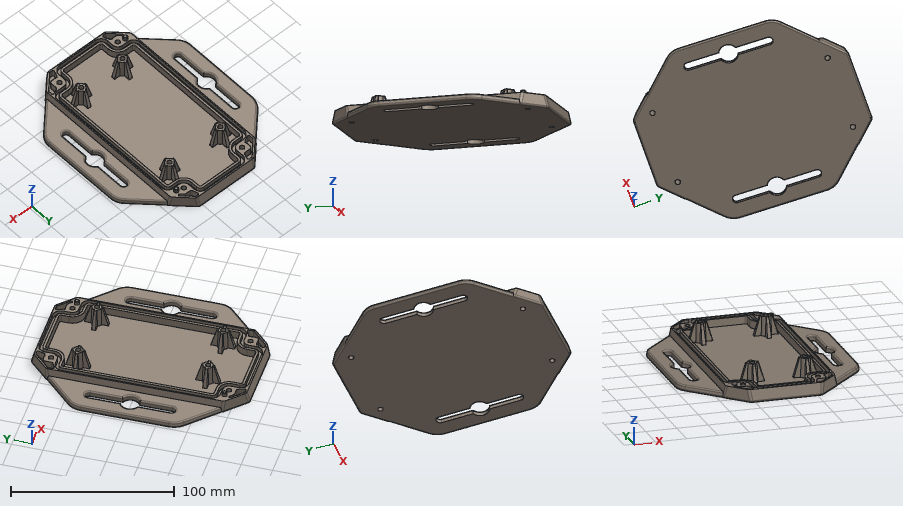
import cadquery as cq
import math

LENGTH_Y = 138.7
WIDTH_X = 117.3
TOTAL_HEIGHT = 15.5

FLOOR_Z = 3.0
FLANGE_Z = 3.6
BODY_Z = 8.0

WALL_DRAFT = 15.0
MOULD_DRAFT = 2.5
EDGE_RADIUS = 1.0
WALL_SLOPE = math.tan(math.radians(WALL_DRAFT))
MOULD_SLOPE = math.tan(math.radians(MOULD_DRAFT))

ROUNDING_LOSS = EDGE_RADIUS * (1 / math.tan(math.radians(45 - WALL_DRAFT / 2)) - 1)

BASE_HALF_Y = LENGTH_Y / 2 + ROUNDING_LOSS
FLANGE_HALF_X = WIDTH_X / 2 + ROUNDING_LOSS
BODY_BASE_CORNER_SUM = 92.4
FLANGE_CORNER_SUM = 92.2
BODY_TOP_CORNER_SUM = 91.3
FLANGE_END_SETBACK = 4.2
FLANGE_HALF_Y = BASE_HALF_Y - FLANGE_END_SETBACK
BODY_TOP_HALF_X = 34.8
BODY_TOP_HALF_Y = BASE_HALF_Y - BODY_Z * WALL_SLOPE
BODY_BASE_HALF_X = BODY_TOP_HALF_X + BODY_Z * WALL_SLOPE
BODY_CORNER_RADIUS = 2.8
FLANGE_CORNER_RADIUS = 13.0

SCREW_X = 24.0
SCREW_Y = 56.5
SCREW_DIAMETER = 3.2
GROOVE_HALF_X = 34.0
GROOVE_HALF_Y = 66.4
GROOVE_CORNER_RADIUS = 5.3
GROOVE_BEND_RADIUS = 4.0
GROOVE_WIDTH = 2.4
GROOVE_DEPTH = 3.0
RIM_WIDTH = 1.7

SLOT_X = 46.0
SLOT_WIDTH = 5.0
SLOT_END_Y = 26.1
KEYHOLE_DIAMETER = 11.9

POST_CENTRES = [(-21.0, 40.1), (21.0, 40.1), (21.0, -40.1), (-13.0, -40.1)]
POST_TOP_DIAMETER = 6.1
POST_HOLE_DIAMETER = 3.2
POST_HOLE_DEPTH = 10.0
RIB_BASE_WIDTH = 2.6
RIB_BASE_REACH = 7.6
RIB_TOP_REACH = 3.9
POST_HEIGHT = TOTAL_HEIGHT - FLOOR_Z

PIN_X = 29.0
PIN_Y = 55.0
PIN_DIAMETER = 3.2
PIN_HEIGHT = 2.5
PIN_CHAMFER = 0.5

POCKET_SIDE_X = 33.5
POCKET_END_Y = 66.3
POCKET_CORNER_SUM = 89.5
POCKET_LOW_Y = 52.1
POCKET_TIP_X = 30.6
TIGHT_RADIUS = 0.5
SOFT_RADIUS = 1.0
PAD_CORNER_RADIUS = 1.7
SCREW_PAD = 4.3
PAD_X = SCREW_X + SCREW_PAD
PAD_Y = SCREW_Y + SCREW_PAD
POCKET_NEAR_END = [
    (21.9, PAD_Y, SOFT_RADIUS),
    (19.8, POCKET_END_Y, SOFT_RADIUS),
    (POCKET_CORNER_SUM - POCKET_END_Y, POCKET_END_Y, TIGHT_RADIUS),
]
PLAIN_POCKET = POCKET_NEAR_END + [
    (POCKET_SIDE_X, POCKET_CORNER_SUM - POCKET_SIDE_X, TIGHT_RADIUS),
    (POCKET_SIDE_X, POCKET_LOW_Y, TIGHT_RADIUS),
    (32.3, POCKET_LOW_Y, TIGHT_RADIUS),
    (PAD_X, 54.2, SOFT_RADIUS),
    (PAD_X, PAD_Y, PAD_CORNER_RADIUS),
]
PIN_POCKET = POCKET_NEAR_END + [
    (POCKET_TIP_X, POCKET_CORNER_SUM - POCKET_TIP_X, TIGHT_RADIUS),
    (29.5, 58.0, TIGHT_RADIUS),
    (26.8, PAD_Y, TIGHT_RADIUS),
]


def rounded_outline(corners, z=0.0):
    """Closed outline through (x, y, radius) corners, each rounded by a tangent arc."""
    segments = []
    for i, (x, y, radius) in enumerate(corners):
        corner = cq.Vector(x, y)
        to_previous = (cq.Vector(*corners[i - 1][:2]) - corner).normalized()
        to_next = (cq.Vector(*corners[(i + 1) % len(corners)][:2]) - corner).normalized()
        half_angle = to_previous.getAngle(to_next) / 2
        setback = radius / math.tan(half_angle)
        bisector = (to_previous + to_next).normalized()
        middle = corner + bisector * (radius / math.sin(half_angle) - radius)
        segments.append((corner + to_previous * setback, middle, corner + to_next * setback))
    outline = cq.Workplane("XY").workplane(offset=z).moveTo(*segments[-1][2].toTuple()[:2])
    for start, middle, end in segments:
        outline = outline.lineTo(*start.toTuple()[:2])
        outline = outline.threePointArc(middle.toTuple()[:2], end.toTuple()[:2])
    return outline.close()


def all_quadrants(corners):
    """Repeat a first-quadrant run of corners, listed anticlockwise, in all four quadrants."""
    first = list(corners)
    second = [(-x, y, r) for x, y, r in reversed(first)]
    third = [(-x, -y, r) for x, y, r in first]
    fourth = [(x, -y, r) for x, y, r in reversed(first)]
    return first + second + third + fourth


def octagon(half_x, half_y, corner_sum, side_radius, end_radius, z=0.0):
    quarter = [
        (half_x, corner_sum - half_x, side_radius),
        (corner_sum - half_y, half_y, end_radius),
    ]
    return rounded_outline(all_quadrants(quarter), z)


def seal_outline(inset, z):
    """Line parallel to the outer groove wall, moved inwards by inset."""
    corner_radius = GROOVE_CORNER_RADIUS - inset
    bend_radius = GROOVE_BEND_RADIUS + inset
    half_x = GROOVE_HALF_X - inset
    half_y = GROOVE_HALF_Y - inset
    bend_x = SCREW_X - bend_radius
    bend_y = SCREW_Y - bend_radius
    quarter = [
        (half_x, bend_y, corner_radius),
        (bend_x, bend_y, bend_radius),
        (bend_x, half_y, corner_radius),
    ]
    return rounded_outline(all_quadrants(quarter), z)


def make_body():
    radii = (BODY_CORNER_RADIUS, BODY_CORNER_RADIUS)
    base = octagon(BODY_BASE_HALF_X, BASE_HALF_Y, BODY_BASE_CORNER_SUM, *radii)
    top = octagon(BODY_TOP_HALF_X, BODY_TOP_HALF_Y, BODY_TOP_CORNER_SUM, *radii, z=BODY_Z)
    body = cq.Solid.makeLoft([base.wire().val(), top.wire().val()], True)
    return cq.Workplane(body).faces("<Z").edges().fillet(EDGE_RADIUS)


def keyhole_slot(x):
    centre = cq.Workplane("XY").center(x, 0)
    slot_length = 2 * SLOT_END_Y + SLOT_WIDTH
    slot = centre.slot2D(slot_length, SLOT_WIDTH, angle=90).extrude(FLANGE_Z)
    return slot.union(centre.circle(KEYHOLE_DIAMETER / 2).extrude(FLANGE_Z))


def make_flange():
    radii = (FLANGE_CORNER_RADIUS, BODY_CORNER_RADIUS)
    outline = octagon(FLANGE_HALF_X, FLANGE_HALF_Y, FLANGE_CORNER_SUM, *radii)
    flange = outline.extrude(FLANGE_Z, taper=WALL_DRAFT).faces("<Z").edges().fillet(EDGE_RADIUS)
    for x in (-SLOT_X, SLOT_X):
        flange = flange.cut(keyhole_slot(x))
    return flange.faces(">Z").edges().fillet(EDGE_RADIUS)


def make_post():
    base_radius = POST_TOP_DIAMETER / 2 + POST_HEIGHT * MOULD_SLOPE
    core = cq.Workplane("XY").circle(base_radius).extrude(POST_HEIGHT, taper=MOULD_DRAFT)
    rib_top_width = RIB_BASE_WIDTH - 2 * POST_HEIGHT * MOULD_SLOPE
    rib = (
        cq.Workplane("XY")
        .rect(2 * RIB_BASE_REACH, RIB_BASE_WIDTH)
        .workplane(offset=POST_HEIGHT)
        .rect(2 * RIB_TOP_REACH, rib_top_width)
        .loft(ruled=True)
    )
    hole = (
        cq.Workplane("XY")
        .workplane(offset=POST_HEIGHT)
        .circle(POST_HOLE_DIAMETER / 2)
        .extrude(-POST_HOLE_DEPTH, taper=MOULD_DRAFT)
    )
    return core.union(rib).union(rib.rotate((0, 0, 0), (0, 0, 1), 90)).cut(hole)


def make_pin():
    pin = cq.Workplane("XY").circle(PIN_DIAMETER / 2).extrude(PIN_HEIGHT)
    return pin.faces(">Z").chamfer(PIN_CHAMFER)


result = make_body().union(make_flange())

cavity = seal_outline(GROOVE_WIDTH + RIM_WIDTH, BODY_Z).extrude(FLOOR_Z - BODY_Z, taper=MOULD_DRAFT)
groove_floor_z = BODY_Z - GROOVE_DEPTH
groove = seal_outline(0.0, groove_floor_z).extrude(GROOVE_DEPTH)
groove = groove.cut(seal_outline(GROOVE_WIDTH, groove_floor_z).extrude(GROOVE_DEPTH))
result = result.cut(cavity).cut(groove)

plain_pocket = rounded_outline(PLAIN_POCKET, FLOOR_Z).extrude(BODY_Z - FLOOR_Z)
pin_pocket = rounded_outline(PIN_POCKET, FLOOR_Z).extrude(BODY_Z - FLOOR_Z)
for turn in (0, 180):
    result = result.cut(plain_pocket.mirror("YZ").rotate((0, 0, 0), (0, 0, 1), turn))
    result = result.cut(pin_pocket.rotate((0, 0, 0), (0, 0, 1), turn))

screw_holes = (
    cq.Workplane("XY")
    .rect(2 * SCREW_X, 2 * SCREW_Y, forConstruction=True)
    .vertices()
    .circle(SCREW_DIAMETER / 2)
    .extrude(BODY_Z)
)
result = result.cut(screw_holes)

post = make_post()
for x, y in POST_CENTRES:
    result = result.union(post.translate((x, y, FLOOR_Z)))

pin = make_pin()
for side in (-1, 1):
    result = result.union(pin.translate((side * PIN_X, side * PIN_Y, BODY_Z)))